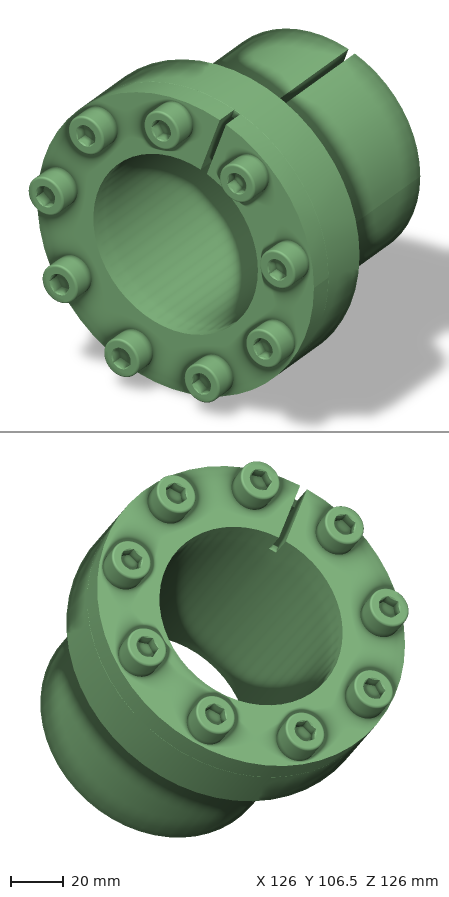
import cadquery as cq
import math

flange_diameter = 126.0
sleeve_diameter = 95.0
bore_diameter = 75.0
flange_thickness = 10.0
collar_length = 21.5
sleeve_length = 65.0
collar_edge_chamfer = 0.1

slit_width = 3.0
slit_angle = 20.0
slot_inner_radius = 40.1
slot_outer_radius = 59.5

screw_count = 9
screw_circle_radius = 53.5
head_diameter = 16.0
head_height = 10.0
head_edge_radius = 0.9
shank_diameter = 10.0
shank_length = 25.0
socket_across_flats = 8.0
socket_depth = 5.0
socket_mouth_diameter = 9.0
socket_mouth_depth = 0.5

collar_front = flange_thickness
collar_rear = collar_front + collar_length
sleeve_rear = collar_rear + sleeve_length


def cylinder(diameter, start, end):
    """Cylinder on the Y axis between two stations."""
    return cq.Workplane("XZ", origin=(0, start, 0)).circle(diameter / 2).extrude(start - end)


def slit_cutter(inner_radius, outer_radius, start, end):
    """Radial slab of slit width between two radii and two stations along Y."""
    radial_length = outer_radius - inner_radius
    slab = cq.Workplane("XY").box(slit_width, end - start, radial_length, centered=(True, False, False))
    return slab.translate((0, start, inner_radius)).rotate((0, 0, 0), (0, 1, 0), slit_angle)


def around_screw_circle(body, index):
    """Move a body from the hub axis to its numbered place on the screw circle."""
    angle = index * 360.0 / screw_count
    return body.translate((0, 0, screw_circle_radius)).rotate((0, 0, 0), (0, 1, 0), angle)


def make_hub():
    flange = cylinder(flange_diameter, 0, collar_front)
    flange = flange.cut(slit_cutter(0, flange_diameter, 0, collar_front))

    collar = cylinder(flange_diameter, collar_front, collar_rear)
    collar = collar.faces("<Y or >Y").chamfer(collar_edge_chamfer)
    collar = collar.cut(slit_cutter(slot_inner_radius, slot_outer_radius, collar_front, collar_rear))

    sleeve = cylinder(sleeve_diameter, collar_rear, sleeve_rear)
    sleeve = sleeve.cut(slit_cutter(slot_inner_radius, sleeve_diameter, collar_rear, sleeve_rear))

    hub = flange.union(collar).union(sleeve)
    hub = hub.cut(cylinder(bore_diameter, 0, sleeve_rear))
    for index in range(screw_count):
        hub = hub.cut(around_screw_circle(cylinder(shank_diameter, 0, shank_length), index))
    return hub


def make_screw():
    head = cylinder(head_diameter, -head_height, 0).faces("<Y").edges().fillet(head_edge_radius)
    screw = head.union(cylinder(shank_diameter, 0, shank_length))

    head_face = cq.Workplane("XZ", origin=(0, -head_height, 0))
    across_corners = socket_across_flats / math.cos(math.radians(30))
    screw = screw.cut(head_face.polygon(6, across_corners).extrude(-socket_depth))

    lead_in = (
        head_face.circle(socket_mouth_diameter / 2)
        .workplane(offset=-socket_mouth_depth)
        .circle(socket_across_flats / 2)
        .loft()
    )
    return screw.cut(lead_in)


hub = make_hub()
screw = make_screw()
screws = [around_screw_circle(screw, index) for index in range(screw_count)]

result = cq.Compound.makeCompound([hub.val(), *[placed.val() for placed in screws]])